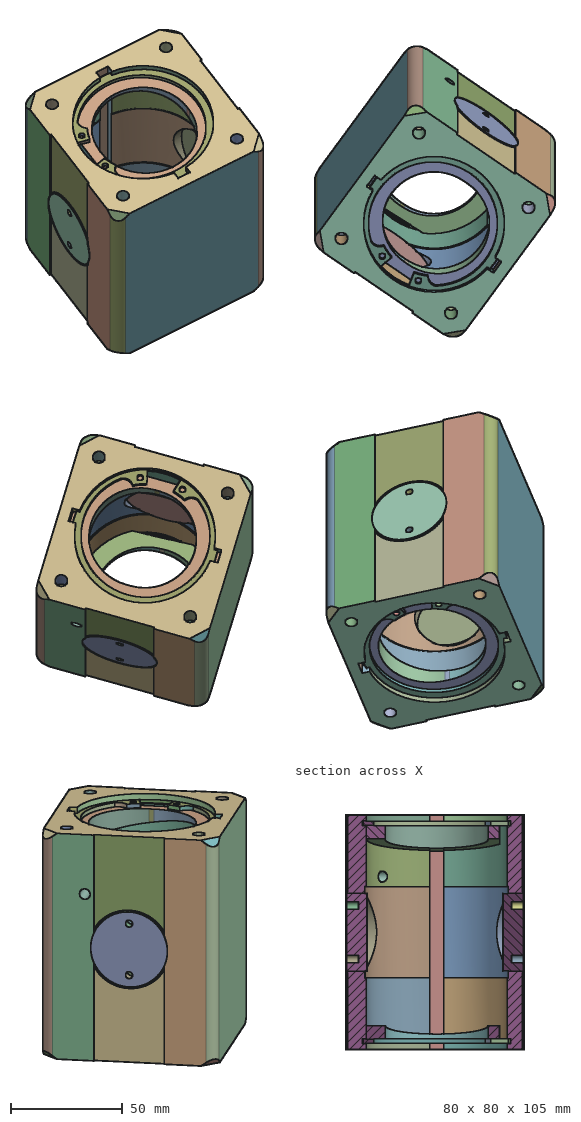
import cadquery as cq
import math

WIDTH = 80.0
HEIGHT = 105.0
HALF_WIDTH = WIDTH / 2
HALF_HEIGHT = HEIGHT / 2
CORNER_RADIUS = 5.0
CORNER_CUT_LEG = 7.4
SIDE_RECESS_WIDTH = 31.9
SIDE_RECESS_DEPTH = 0.7

MOUNT_SPACING = 60.1
MOUNT_RADIUS = 2.7
MOUNT_DEPTH = 14.7
DRILL_TIP_ANGLE = 118.0

BORE_Y = -0.7
BORE_RADIUS = 31.5
RELIEF_RADIUS = 32.0
RELIEF_HALF_HEIGHT = 20.4
KEYWAY_REACH = 34.8
KEYWAY_WIDTH = 6.2

RING_OUTER_RADIUS = 33.1
RING_THICKNESS = 2.0
RING_INNER_RADIUS = 28.9
RING_INNER_SHIFT = 0.8
RING_TOP = HALF_HEIGHT - 2.7
RING_BOTTOM = RING_TOP - RING_THICKNESS
EAR_INNER_RADIUS = 25.0
EAR_GAP_ANGLE = 14.3
EAR_END_ANGLE = 29.0
EAR_ROOT_X = 17.8
EAR_SCALLOP_X = 14.9
EAR_SCALLOP_Y = -24.6
EAR_HOLE_X = 9.9
EAR_HOLE_Y = -26.9
EAR_HOLE_RADIUS = 1.4

CAP_TOP = RING_BOTTOM
CAP_AXIS_THICKNESS = 6.0
CAP_SLOPE = 9.3
CAP_HOLE_RADIUS = 23.0
CAP_HOLE_STRETCH = 2.2
CAP_KEY_REACH = 34.4
CAP_FLAT_Y = -28.9

PLUG_RADIUS = 17.4
PAD_HEIGHT = 0.3
PLUG_FACE = HALF_WIDTH - SIDE_RECESS_DEPTH + PAD_HEIGHT
PLUG_INNER_END = 30.3
SEAT_RADIUS = 18.2
PIN_HOLE_SPACING = 23.9
PIN_HOLE_RADIUS = 1.6
PIN_HOLE_DEPTH = 5.2

PORT_X = 20.1
PORT_Z = 24.9
PORT_RADIUS = 2.4


def cylinder(radius, bottom, top):
    """Cylinder on the bore axis."""
    return cq.Workplane("XY", origin=(0, BORE_Y, bottom)).circle(radius).extrude(top - bottom)


def side_cylinder(radius, inner_y, outer_y, x=0.0, z=0.0):
    """Cylinder along Y between two distances in front of the centre."""
    return cq.Workplane("XZ", origin=(x, -inner_y, z)).circle(radius).extrude(outer_y - inner_y)


def keyed_profile(key_reach, bottom, top):
    """Bore cylinder with a key on its +X and -X sides."""
    height = top - bottom
    keys = cq.Workplane("XY", origin=(0, BORE_Y, bottom)).rect(2 * key_reach, KEYWAY_WIDTH).extrude(height)
    return cylinder(BORE_RADIUS, bottom, top).union(keys)


def flip(body):
    """Half turn about Y, from the top end to the bottom end."""
    return body.rotate((0, 0, 0), (0, 1, 0), 180)


def turn_to_back(body):
    """Half turn about Z, from the front side to the back side."""
    return body.rotate((0, 0, 0), (0, 0, 1), 180)


def make_block():
    block = cq.Workplane("XY").box(WIDTH, WIDTH, HEIGHT).edges("|Z").fillet(CORNER_RADIUS)
    diagonal = WIDTH * math.sqrt(2)
    setback = CORNER_CUT_LEG / math.sqrt(2)
    trimmer = cq.Workplane("XY").box(diagonal, diagonal, HEIGHT).faces("<Z or >Z").chamfer(setback)
    return block.intersect(trimmer.rotate((0, 0, 0), (0, 0, 1), 45))


def make_side_recess():
    """Shallow full-height channel in the front side that leaves a pad around the plug."""
    channel = cq.Workplane("XY").box(SIDE_RECESS_WIDTH, SIDE_RECESS_DEPTH, HEIGHT)
    channel = channel.translate((0, SIDE_RECESS_DEPTH / 2 - HALF_WIDTH, 0))
    pad = side_cylinder(SEAT_RADIUS, HALF_WIDTH - SIDE_RECESS_DEPTH, PLUG_FACE)
    return channel.cut(pad)


def make_mount_holes():
    tip = MOUNT_RADIUS / math.tan(math.radians(DRILL_TIP_ANGLE / 2))
    drill = (
        cq.Workplane("XZ")
        .polyline([(0, 0), (MOUNT_RADIUS, 0), (MOUNT_RADIUS, -MOUNT_DEPTH), (0, -MOUNT_DEPTH - tip)])
        .close()
        .revolve(360, (0, 0, 0), (0, 1, 0))
        .translate((0, 0, HALF_HEIGHT))
        .val()
    )
    corners = cq.Workplane("XY").rect(MOUNT_SPACING, MOUNT_SPACING, forConstruction=True).vertices()
    return corners.eachpoint(lambda place: drill.moved(place))


def make_housing():
    housing = make_block()
    housing = housing.cut(keyed_profile(KEYWAY_REACH, -HALF_HEIGHT, HALF_HEIGHT))
    housing = housing.cut(cylinder(RELIEF_RADIUS, -RELIEF_HALF_HEIGHT, RELIEF_HALF_HEIGHT))
    ring_groove = cylinder(RING_OUTER_RADIUS, RING_BOTTOM, RING_TOP)
    mount_holes = make_mount_holes()
    for cutter in (ring_groove, mount_holes):
        housing = housing.cut(cutter).cut(flip(cutter))
    recess = make_side_recess()
    plug_hole = side_cylinder(PLUG_RADIUS, 0, HALF_WIDTH)
    for cutter in (recess, plug_hole):
        housing = housing.cut(cutter).cut(turn_to_back(cutter))
    port = side_cylinder(PORT_RADIUS, -HALF_WIDTH, 0, PORT_X, PORT_Z)
    return housing.cut(port)


def make_ring():
    """Retaining ring with two ears facing -Y, in its groove at the top end."""

    def on_circle(radius, angle, side):
        turn = math.radians(angle)
        return (side * radius * math.sin(turn), -radius * math.cos(turn))

    root_y = -RING_INNER_SHIFT - math.sqrt(RING_INNER_RADIUS**2 - EAR_ROOT_X**2)
    middle_angle = (EAR_GAP_ANGLE + EAR_END_ANGLE) / 2
    scallop_y = EAR_SCALLOP_Y - BORE_Y
    profile = (
        cq.Workplane("XY", origin=(0, BORE_Y, RING_BOTTOM))
        .moveTo(*on_circle(RING_OUTER_RADIUS, EAR_GAP_ANGLE, 1))
        .threePointArc((0, RING_OUTER_RADIUS), on_circle(RING_OUTER_RADIUS, EAR_GAP_ANGLE, -1))
        .lineTo(*on_circle(EAR_INNER_RADIUS, EAR_GAP_ANGLE, -1))
        .threePointArc(
            on_circle(EAR_INNER_RADIUS, middle_angle, -1), on_circle(EAR_INNER_RADIUS, EAR_END_ANGLE, -1)
        )
        .threePointArc((-EAR_SCALLOP_X, scallop_y), (-EAR_ROOT_X, root_y))
        .threePointArc((0, RING_INNER_RADIUS - RING_INNER_SHIFT), (EAR_ROOT_X, root_y))
        .threePointArc((EAR_SCALLOP_X, scallop_y), on_circle(EAR_INNER_RADIUS, EAR_END_ANGLE, 1))
        .threePointArc(
            on_circle(EAR_INNER_RADIUS, middle_angle, 1), on_circle(EAR_INNER_RADIUS, EAR_GAP_ANGLE, 1)
        )
        .close()
    )
    ear_holes = (
        cq.Workplane("XY", origin=(0, EAR_HOLE_Y, RING_BOTTOM))
        .pushPoints([(-EAR_HOLE_X, 0), (EAR_HOLE_X, 0)])
        .circle(EAR_HOLE_RADIUS)
        .extrude(RING_THICKNESS)
    )
    return profile.extrude(RING_THICKNESS).cut(ear_holes)


def make_cap():
    """Keyed wedge-shaped cap under the top ring, thicker towards +X."""
    rise = CAP_KEY_REACH * math.tan(math.radians(CAP_SLOPE))
    cap_middle = CAP_TOP - CAP_AXIS_THICKNESS
    lowest = cap_middle - rise
    wedge = (
        cq.Workplane("XZ", origin=(0, HALF_WIDTH, 0))
        .polyline(
            [
                (-CAP_KEY_REACH, CAP_TOP),
                (CAP_KEY_REACH, CAP_TOP),
                (CAP_KEY_REACH, lowest),
                (-CAP_KEY_REACH, cap_middle + rise),
            ]
        )
        .close()
        .extrude(HALF_WIDTH - CAP_FLAT_Y)
    )
    hole = cylinder(CAP_HOLE_RADIUS, lowest, CAP_TOP)
    stretch = cq.Workplane("XY").box(
        CAP_HOLE_STRETCH, 2 * CAP_HOLE_RADIUS, CAP_TOP - lowest, centered=(False, True, False)
    )
    hole = hole.union(hole.translate((CAP_HOLE_STRETCH, 0, 0)))
    hole = hole.union(stretch.translate((0, BORE_Y, lowest)))
    return keyed_profile(CAP_KEY_REACH, lowest, CAP_TOP).intersect(wedge).cut(hole)


def make_plug():
    """Round plug in the front side with two spanner holes."""
    plug = side_cylinder(PLUG_RADIUS, PLUG_INNER_END, PLUG_FACE)
    for side in (-1, 1):
        pin_z = side * PIN_HOLE_SPACING / 2
        plug = plug.cut(side_cylinder(PIN_HOLE_RADIUS, PLUG_FACE - PIN_HOLE_DEPTH, PLUG_FACE, 0, pin_z))
    return plug


housing = make_housing()
ring = make_ring()
cap = make_cap()
plug = make_plug()

bodies = [housing.val()]
for top_body in (ring, cap):
    bodies += [top_body.val(), flip(top_body).val()]
bodies += [plug.val(), turn_to_back(plug).val()]
result = cq.Compound.makeCompound(bodies)